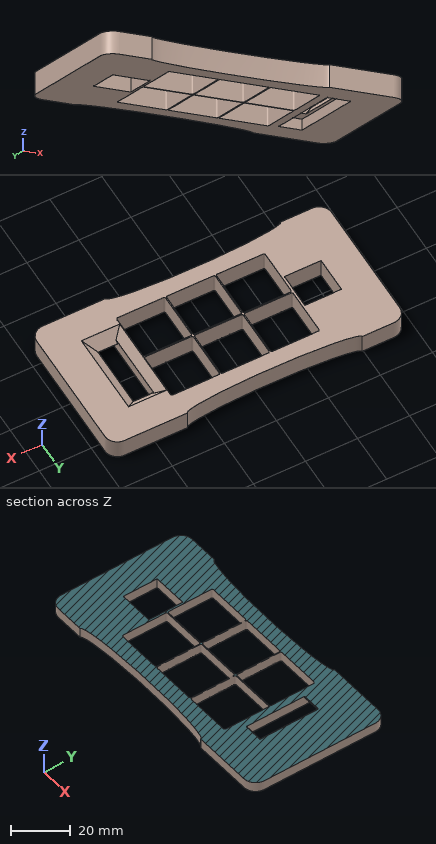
import cadquery as cq

length = 113.4
width = 56.4
thickness = 8.0
corner_radius = 4.9

grip_center_x = -6.0
grip_half_length = 33.6
grip_depth = 3.0

columns = 3
rows = 2
key_size = 18.7
key_wall = 0.5
key_corner_radius = 0.6
key_pitch = key_size + key_wall
grid_center_x = 0.1

square_size = 14.1
square_center_x = -36.4

mouth_left = 28.8
mouth_right = 43.5
mouth_length = 32.4
funnel_inset = 4.2
funnel_depth = funnel_inset
window_left = 32.0
window_right = mouth_right - funnel_inset
window_length = mouth_length - 2 * funnel_inset
pocket_right = 40.8
pocket_length = 35.6


def make_plate():
    plate = cq.Workplane("XY").box(length, width, thickness, centered=(True, True, False))
    return plate.edges("|Z").fillet(corner_radius)


def make_grips():
    centers = [(grip_center_x, side * width / 2) for side in (-1, 1)]
    return cq.Workplane("XY").pushPoints(centers).ellipse(grip_half_length, grip_depth).extrude(thickness)


def make_key_openings():
    openings = (
        cq.Workplane("XY")
        .center(grid_center_x, 0)
        .rarray(key_pitch, key_pitch, columns, rows)
        .rect(key_size, key_size)
        .extrude(thickness)
    )
    return openings.edges("|Z").fillet(key_corner_radius)


def make_square_opening():
    return cq.Workplane("XY").center(square_center_x, 0).rect(square_size, square_size).extrude(thickness)


def make_funnel(top_left, bottom_left):
    """Tapered cut whose left wall runs from top_left down to bottom_left."""
    top_width = mouth_right - top_left
    bottom_width = window_right - bottom_left
    top_center_x = (top_left + mouth_right) / 2
    bottom_center_x = (bottom_left + window_right) / 2
    return (
        cq.Workplane("XY", origin=(top_center_x, 0, thickness))
        .rect(top_width, mouth_length)
        .workplane(offset=-funnel_depth)
        .center(bottom_center_x - top_center_x, 0)
        .rect(bottom_width, window_length)
        .loft(ruled=True)
    )


def make_window():
    sloped_mouth = make_funnel(mouth_left, mouth_left + funnel_inset)
    upright_left_wall = make_funnel(window_left, window_left)
    pocket = (
        cq.Workplane("XY")
        .center((window_left + pocket_right) / 2, 0)
        .rect(pocket_right - window_left, pocket_length)
        .extrude(thickness - funnel_depth)
    )
    return sloped_mouth.union(upright_left_wall).union(pocket)


result = (
    make_plate()
    .cut(make_grips())
    .cut(make_key_openings())
    .cut(make_square_opening())
    .cut(make_window())
)